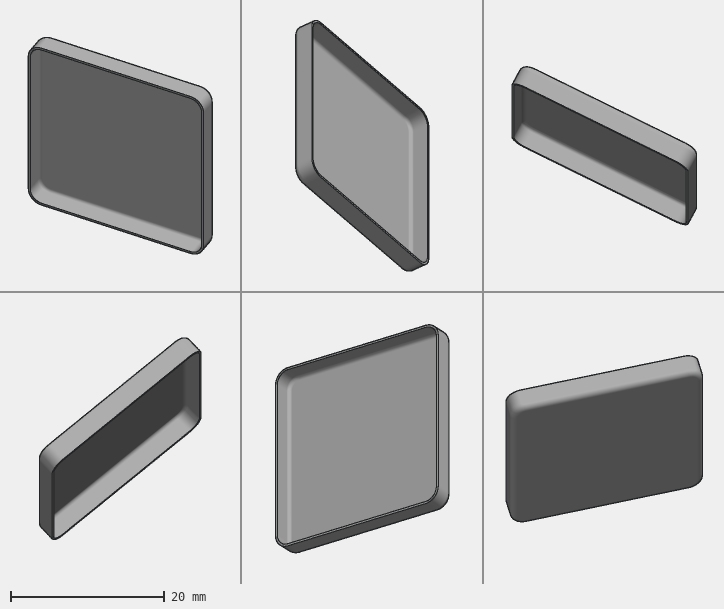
import cadquery as cq

side = 25.9
depth = 3.0
wall = 0.3
corner_radius = 2.0
back_edge_radius = 0.8


def rounded_block(width, length, radius, edge_radius):
    """Square block running from Y = 0 to +Y, with rounded corners and a rounded back rim."""
    block = cq.Workplane("XZ").rect(width, width).extrude(-length)
    block = block.edges("|Y").fillet(radius)
    return block.faces(">Y").edges().fillet(edge_radius)


outer = rounded_block(side, depth, corner_radius, back_edge_radius)

cavity = rounded_block(
    side - 2 * wall,
    depth - wall,
    corner_radius - wall,
    back_edge_radius - wall,
)

result = outer.cut(cavity)